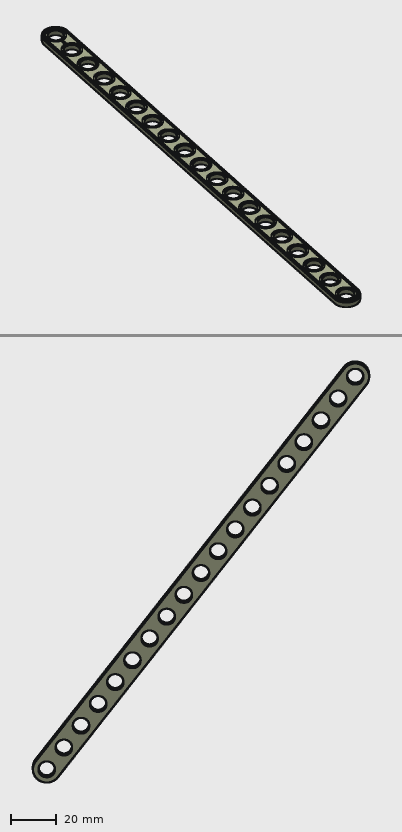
import cadquery as cq

length = 237.5
hole_count = 19
pitch = length / hole_count
width = pitch
thickness = 3.0

hole_diameter = 7.0
first_hole_x = -(hole_count - 1) * pitch / 2
hole_centres = [(first_hole_x + index * pitch, 0) for index in range(hole_count)]

edge_chamfer = 0.3

recess_depth = 0.2
rim_width = 1.07
collar_diameter = 9.3
rib_width = 0.7


def round_ended_plate(inset, height):
    """Flat plate with full-round ends, its outline set in from the bar's by the inset."""
    return cq.Workplane("XY").slot2D(length - 2 * inset, width - 2 * inset).extrude(height)


def discs_at_holes(diameter, height):
    """One disc at every hole position."""
    return cq.Workplane("XY").pushPoints(hole_centres).circle(diameter / 2).extrude(height)


def drilled_bar():
    """Bar with its row of through holes and all edges of both faces chamfered."""
    bar = round_ended_plate(0, thickness).cut(discs_at_holes(hole_diameter, thickness))
    return bar.faces("<Z or >Z").edges().chamfer(edge_chamfer)


def recess():
    """Area inside the rim, less the collars and the rib joining the first two collars."""
    rib = (
        cq.Workplane("XY")
        .center(first_hole_x + pitch / 2, 0)
        .rect(pitch, rib_width)
        .extrude(recess_depth)
    )
    return (
        round_ended_plate(rim_width, recess_depth)
        .cut(discs_at_holes(collar_diameter, recess_depth))
        .cut(rib)
    )


result = drilled_bar().cut(recess().translate((0, 0, thickness - recess_depth)))